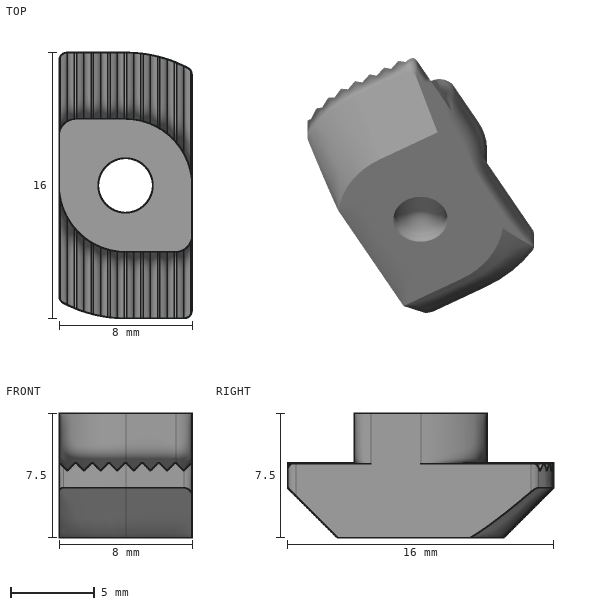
import cadquery as cq

width = 8.0
length = 16.0
total_height = 7.5
half_width = width / 2
half_length = length / 2

tooth_count = 8
tooth_pitch = width / tooth_count
crest_width = 0.15
crest_rise = 0.05
tooth_depth = (tooth_pitch - crest_width) / 2

shoulder_height = 4.46
base_height = shoulder_height + crest_rise
valley_height = shoulder_height - tooth_depth
slope_height = 3.0
bottom_half_length = half_length - slope_height
base_corner_radius = 0.5

boss_corner_radius = 1.0
bore_diameter = 3.26


def half_turn(shape):
    """Return a copy of the shape turned 180 degrees about the Z axis."""
    return shape.rotate((0, 0, 0), (0, 0, 1), 180)


def end_profile():
    """Half section in the YZ plane from the Z axis out to one sloped end."""
    return (
        cq.Workplane("YZ")
        .lineTo(bottom_half_length, 0)
        .lineTo(half_length, slope_height)
        .lineTo(half_length, base_height)
        .lineTo(0, base_height)
        .close()
    )


def rounded_outline(outline_length, corner_radius, height):
    """Prism with a large arc at two opposite corners and small fillets at the side corners."""
    arc_radius = outline_length / 2
    corner_block = (
        cq.Workplane("XY")
        .rect(-half_width, arc_radius, centered=False)
        .extrude(height)
    )
    arc_limit = cq.Workplane("XY").circle(arc_radius).extrude(height)
    arc_limit = arc_limit.union(corner_block).union(half_turn(corner_block))
    prism = cq.Workplane("XY").rect(width, outline_length).extrude(height).intersect(arc_limit)
    corners = prism.edges("|Z and (<X or >X)").filter(lambda edge: abs(edge.Center().y) > arc_radius / 2)
    return corners.fillet(corner_radius)


def toothed_block():
    """Block along Y whose top carries the teeth, with flat half crests at both sides."""
    half_crest = crest_width / 2
    section = (
        cq.Workplane("XZ")
        .moveTo(-half_width, 0)
        .lineTo(-half_width, shoulder_height)
        .lineTo(-half_width + half_crest, shoulder_height)
    )
    for index in range(1, tooth_count):
        crest_x = -half_width + index * tooth_pitch
        section = (
            section
            .lineTo(crest_x - tooth_pitch / 2, valley_height)
            .lineTo(crest_x - half_crest, shoulder_height)
            .threePointArc((crest_x, base_height), (crest_x + half_crest, shoulder_height))
        )
    return (
        section
        .lineTo(half_width - tooth_pitch / 2, valley_height)
        .lineTo(half_width - half_crest, shoulder_height)
        .lineTo(half_width, shoulder_height)
        .lineTo(half_width, 0)
        .close()
        .extrude(half_length, both=True)
    )


def make_base():
    """Toothed body with one straight and one conical sloped quarter at each end."""
    straight_quarter = end_profile().extrude(-half_width)
    cone = end_profile().revolve(360, (0, 0), (0, 1))
    body = cone.union(straight_quarter).union(half_turn(straight_quarter))
    body = body.intersect(rounded_outline(length, base_corner_radius, base_height))
    return body.intersect(toothed_block())


def make_boss():
    """Boss rising from the tooth valleys to the top of the part."""
    boss = rounded_outline(width, boss_corner_radius, total_height - valley_height)
    return boss.translate((0, 0, valley_height))


bore = cq.Workplane("XY").circle(bore_diameter / 2).extrude(total_height)
result = make_base().union(make_boss()).cut(bore)